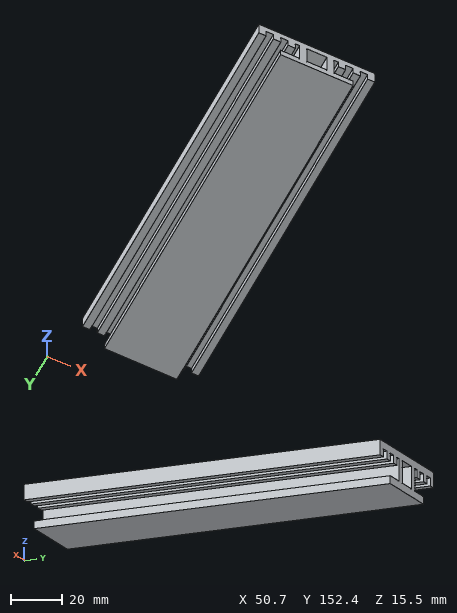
import cadquery as cq

length = 152.4
width = 50.7
height = 15.5

wall = 3.2
base_width = 31.7
web_span = 15.1

tooth_width = 3.2
tooth_depth = 3.2
tooth_pitch = 6.4
teeth_per_side = 3


def bar(x_center, bar_width, z_bottom, z_top):
    """Full-length rectangular bar, centred on Y = 0."""
    return (
        cq.Workplane("XY")
        .box(bar_width, length, z_top - z_bottom, centered=(True, True, False))
        .translate((x_center, 0, z_bottom))
    )


plate_bottom = height - wall

result = bar(0, width, plate_bottom, height)
result = result.union(bar(0, base_width, 0, wall))

for side in (-1, 1):
    web_center = side * (web_span - wall) / 2
    result = result.union(bar(web_center, wall, 0, height))

    for index in range(teeth_per_side):
        tooth_center = side * ((width - tooth_width) / 2 - index * tooth_pitch)
        result = result.union(bar(tooth_center, tooth_width, plate_bottom - tooth_depth, height))

result = result.clean()